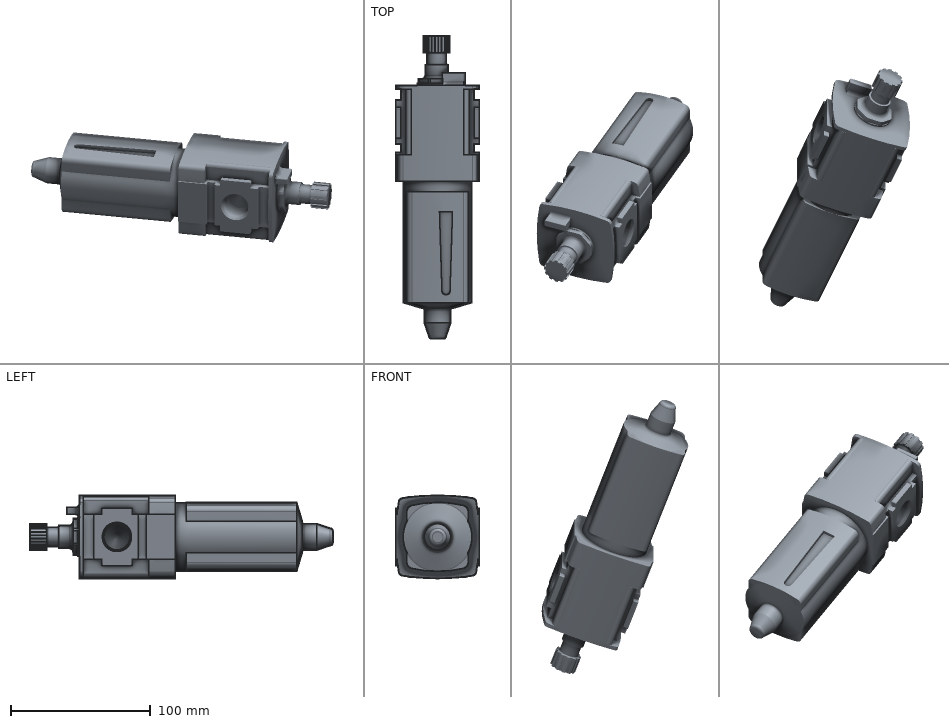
import cadquery as cq
import math


head_height = 59.5
head_half = head_height / 2
side_bow_radius = 156
head_corner_radius = 3.5
head_top_y = 68.7
plate_thickness = 2.8
plate_bottom_y = head_top_y - plate_thickness
band_top_y = 19.0

waist_half_width = 22.5
waist_shoulder_half = 18.6
waist_corner_z = 26.2
waist_corner_radius = 3.0

port_width = 60.0
port_face_x = port_width / 2
rail_half_width = 26.2
rail_half_height = 16.0
flange_top_y = 58.3
flange_bottom_y = 26.7
band_pad_top_y = 20.8
lip_half_height = 20.5
lip_length = 22.0
lip_corner_radius = 0.9
port_y = 41.8
port_diameter = 18.6
port_mouth_diameter = 20.8
port_depth = 17.3
drill_point_angle = 118

adjuster_x = -0.7
knob_top_y = 104
knob_diameter = 18.9
knob_length = 12.0
flute_count = 12
flute_width = 2.4
flute_depth = 1.0
neck_diameter = 13.9
neck_fillet = 0.7
sleeve_diameter = 16.5
sleeve_top_y = 83.5
sleeve_fillet = 2.5
nut_top_y = 73.3
nut_sides = 8
nut_across_flats = 26.5
washer_diameter = 28.0
washer_thickness = 1.3

tab_left_x = 3.5
tab_right_x = 20.0
tab_bottom_z = 16.0
tab_top_z = 21.2
tab_height = 9.0
tab_end_radius = 1.0
tab_tip_radius = 0.5
tab_root_fillet = 2.5

bowl_diameter = 49.2
bowl_radius = bowl_diameter / 2
bowl_neck_length = 7.5
bowl_bottom_y = -86.7
cone_bottom_y = -90.8
cone_end_diameter = 21.7
grip_half_width = 21.9
grip_half_height = 24.7
grip_bow_radius = 78
grip_corner_radius = 4.3

window_x = 6.0
window_top_y = -21.7
window_end_y = -81.0
window_top_width = 9.3
window_end_width = 5.9
window_floor_z = 21.9

drain_diameter = 18.9
drain_root_fillet = 0.9
drain_taper_y = -101.2
drain_tip_y = -112.7
drain_tip_diameter = 12.5
drain_flat_diameter = 7.8


def bowed(half, bow_radius, offset):
    """Distance from the axis to a bowed side, at an offset from the middle of that side."""
    return half - bow_radius + math.sqrt(bow_radius**2 - offset**2)


def section(y):
    """Workplane across the part at height y; local axes are X and Z, extrusion runs towards -Y."""
    return cq.Workplane("XZ", origin=(0, y, 0))


def disc(diameter, top_y, length, x=0):
    return section(top_y).center(x, 0).circle(diameter / 2).extrude(length)


def box(x_range, y_range, z_range):
    corner = (x_range[0], y_range[0], z_range[0])
    size = [high - low for low, high in (x_range, y_range, z_range)]
    return cq.Workplane("XY").box(*size, centered=False).translate(corner)


def both_sides(shape):
    return shape.union(shape.mirror("YZ"))



def barrel_slab(top_y, length):
    """Slab with the bowed square outline of the head and rounded corners."""
    centre_offset = side_bow_radius - head_half
    corner = (math.sqrt(2 * side_bow_radius**2 - centre_offset**2) - centre_offset) / 2
    return (
        section(top_y)
        .moveTo(-corner, corner)
        .threePointArc((0, head_half), (corner, corner))
        .threePointArc((head_half, 0), (corner, -corner))
        .threePointArc((0, -head_half), (-corner, -corner))
        .threePointArc((-head_half, 0), (-corner, corner))
        .close()
        .extrude(length)
        .edges("|Y")
        .fillet(head_corner_radius)
    )


def waist():
    shoulder_z = bowed(head_half, side_bow_radius, waist_shoulder_half)
    return (
        section(plate_bottom_y)
        .moveTo(-waist_shoulder_half, shoulder_z)
        .threePointArc((0, head_half), (waist_shoulder_half, shoulder_z))
        .radiusArc((waist_half_width, waist_corner_z), waist_corner_radius)
        .lineTo(waist_half_width, -waist_corner_z)
        .radiusArc((waist_shoulder_half, -shoulder_z), waist_corner_radius)
        .threePointArc((0, -head_half), (-waist_shoulder_half, -shoulder_z))
        .radiusArc((-waist_half_width, -waist_corner_z), waist_corner_radius)
        .lineTo(-waist_half_width, waist_corner_z)
        .radiusArc((-waist_shoulder_half, shoulder_z), waist_corner_radius)
        .close()
        .extrude(plate_bottom_y - band_top_y)
    )


def port_side():
    """Rail, flange with clamping lips and band pad on the +X side."""
    rail_z = (-rail_half_height, rail_half_height)
    rail = box((0, rail_half_width), (0, plate_bottom_y), rail_z)
    flange = box((0, port_face_x), (flange_bottom_y, flange_top_y), rail_z)
    band_pad = box((0, port_face_x), (0, band_pad_top_y), rail_z)
    lips = box(
        (rail_half_width, port_face_x),
        (port_y - lip_length / 2, port_y + lip_length / 2),
        (-lip_half_height, lip_half_height),
    )
    lips = lips.edges("|X").fillet(lip_corner_radius)
    return rail.union(flange).union(band_pad).union(lips)


def port():
    """Blind port hole on the +X side, with a chamfered mouth and a drill point."""
    radius = port_diameter / 2
    mouth_radius = port_mouth_diameter / 2
    shoulder_x = port_face_x - port_depth
    point_x = shoulder_x - radius / math.tan(math.radians(drill_point_angle / 2))
    return (
        cq.Workplane("XY")
        .moveTo(point_x, port_y)
        .lineTo(shoulder_x, port_y + radius)
        .lineTo(port_face_x - (mouth_radius - radius), port_y + radius)
        .lineTo(port_face_x, port_y + mouth_radius)
        .lineTo(port_face_x, port_y)
        .close()
        .revolve(360, (0, port_y, 0), (1, port_y, 0))
    )


def knob():
    flutes = (
        section(knob_top_y)
        .polarArray(knob_diameter / 2, 180 / flute_count, 360, flute_count)
        .rect(2 * flute_depth, flute_width)
        .extrude(knob_length)
    )
    return disc(knob_diameter, knob_top_y, knob_length).cut(flutes).translate((adjuster_x, 0, 0))


def adjuster_stem():
    """Neck and sleeve below the knob, with their concave rounds."""
    knob_bottom_y = knob_top_y - knob_length
    neck_radius = neck_diameter / 2
    sleeve_radius = sleeve_diameter / 2
    stem = (
        cq.Workplane("XY")
        .moveTo(0, knob_bottom_y)
        .lineTo(neck_radius + neck_fillet, knob_bottom_y)
        .radiusArc((neck_radius, knob_bottom_y - neck_fillet), -neck_fillet)
        .lineTo(neck_radius, sleeve_top_y + neck_fillet)
        .radiusArc((neck_radius + neck_fillet, sleeve_top_y), -neck_fillet)
        .lineTo(sleeve_radius, sleeve_top_y)
        .lineTo(sleeve_radius, nut_top_y + sleeve_fillet)
        .radiusArc((sleeve_radius + sleeve_fillet, nut_top_y), -sleeve_fillet)
        .lineTo(0, nut_top_y)
        .close()
        .revolve(360, (0, 0, 0), (0, 1, 0))
    )
    return stem.translate((adjuster_x, 0, 0))


def nut():
    """Octagonal nut with its corners turned down to the diameter of the washer below it."""
    washer_top_y = head_top_y + washer_thickness
    nut_height = nut_top_y - washer_top_y
    octagon = (
        section(nut_top_y)
        .polygon(nut_sides, nut_across_flats, circumscribed=True)
        .extrude(nut_height)
        .translate((adjuster_x, 0, 0))
    )
    turned = octagon.intersect(disc(washer_diameter, nut_top_y, nut_height, adjuster_x))
    return turned.union(disc(washer_diameter, washer_top_y, washer_thickness, adjuster_x))


def tab():
    """Small upright tab on the plate, flared at its root on both broad sides."""
    top_y = head_top_y + tab_height
    upright = box((tab_left_x, tab_right_x), (head_top_y, top_y), (tab_bottom_z, tab_top_z))
    upright = upright.edges("|Y and >X").fillet(tab_end_radius)
    upright = upright.faces(">Y").edges().fillet(tab_tip_radius)
    flare_top_y = head_top_y + tab_root_fillet
    flare = (
        cq.Workplane("YZ", origin=(tab_left_x, 0, 0))
        .moveTo(head_top_y, tab_bottom_z - tab_root_fillet)
        .radiusArc((flare_top_y, tab_bottom_z), tab_root_fillet)
        .lineTo(flare_top_y, tab_top_z)
        .radiusArc((head_top_y, tab_top_z + tab_root_fillet), tab_root_fillet)
        .close()
        .extrude(tab_right_x - tab_end_radius - tab_left_x)
    )
    return upright.union(flare)


def make_head():
    plate = barrel_slab(head_top_y, plate_thickness)
    band = barrel_slab(band_top_y, band_top_y)
    head = plate.union(waist()).union(band)
    head = head.union(both_sides(port_side()))
    head = head.cut(port()).cut(port().mirror("YZ"))
    return head.union(nut()).union(adjuster_stem()).union(knob()).union(tab())



def bowl_core():
    """Round bowl, its conical bottom and the drain, as one turned shape."""
    drain_radius = drain_diameter / 2
    cone_end_radius = cone_end_diameter / 2
    tip_round = (drain_tip_diameter - drain_flat_diameter) / 2
    return (
        cq.Workplane("XY")
        .lineTo(bowl_radius, 0)
        .lineTo(bowl_radius, bowl_bottom_y)
        .lineTo(cone_end_radius, cone_bottom_y)
        .lineTo(drain_radius + drain_root_fillet, cone_bottom_y)
        .radiusArc((drain_radius, cone_bottom_y - drain_root_fillet), -drain_root_fillet)
        .lineTo(drain_radius, drain_taper_y)
        .lineTo(drain_tip_diameter / 2, drain_tip_y + tip_round)
        .radiusArc((drain_flat_diameter / 2, drain_tip_y), tip_round)
        .lineTo(0, drain_tip_y)
        .close()
        .revolve(360, (0, 0, 0), (0, 1, 0))
    )


def grip():
    """Squarish grip around the bowl: flat sides, bowed top and bottom, rounded corners."""
    corner_z = bowed(grip_half_height, grip_bow_radius, grip_half_width)
    return (
        section(-bowl_neck_length)
        .moveTo(-grip_half_width, corner_z)
        .threePointArc((0, grip_half_height), (grip_half_width, corner_z))
        .lineTo(grip_half_width, -corner_z)
        .threePointArc((0, -grip_half_height), (-grip_half_width, -corner_z))
        .close()
        .extrude(-bowl_neck_length - bowl_bottom_y)
        .edges("|Y")
        .fillet(grip_corner_radius)
    )


def window():
    """Tapered recess with a round lower end and a flat floor."""
    end_radius = window_end_width / 2
    arc_y = window_end_y + end_radius
    return (
        cq.Workplane("XY", origin=(window_x, 0, window_floor_z))
        .moveTo(-window_top_width / 2, window_top_y)
        .lineTo(window_top_width / 2, window_top_y)
        .lineTo(end_radius, arc_y)
        .threePointArc((0, window_end_y), (-end_radius, arc_y))
        .close()
        .extrude(grip_half_height - window_floor_z)
    )


def make_bowl():
    return bowl_core().union(grip()).cut(window())


head = make_head()
bowl = make_bowl()
result = cq.Compound.makeCompound([head.val(), bowl.val()])